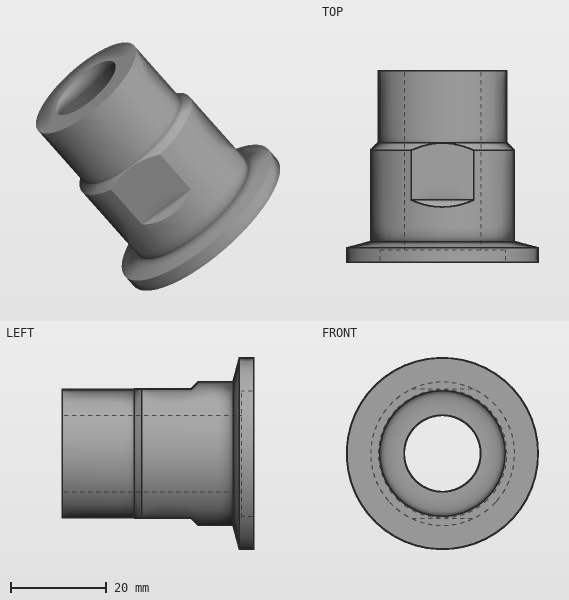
import cadquery as cq

length = 40.0
flange_diameter = 40.0
flange_rim = 3.0
flange_thickness = 4.3
body_diameter = 30.0
tube_diameter = 26.8
body_end = 25.0
shoulder_chamfer = (body_diameter - tube_diameter) / 2
bore_diameter = 15.9
recess_diameter = 26.2
recess_depth = 2.6

across_flats = 27.0
flat_start = 13.05
flat_run_out = (body_diameter - across_flats) / 2


def turned_body():
    """Flange, body and tube revolved about the Y axis, with a stepped bore."""
    bore = bore_diameter / 2
    recess = recess_diameter / 2
    flange = flange_diameter / 2
    body = body_diameter / 2
    tube = tube_diameter / 2
    profile = [
        (recess, 0),
        (flange, 0),
        (flange, flange_rim),
        (body, flange_thickness),
        (body, body_end - shoulder_chamfer),
        (tube, body_end),
        (tube, length),
        (bore, length),
        (bore, recess_depth),
        (recess, recess_depth),
    ]
    return cq.Workplane("XY").polyline(profile).close().revolve(360, (0, 0, 0), (0, 1, 0))


def flat_cutter(side):
    """Prism that cuts one flat; side is +1 for +Z and -1 for -Z."""
    flat_height = side * across_flats / 2
    body_height = side * body_diameter / 2
    section = [
        (flat_start - flat_run_out, body_height),
        (flat_start, flat_height),
        (body_end, flat_height),
        (body_end, body_height),
    ]
    return cq.Workplane("YZ").polyline(section).close().extrude(body_diameter / 2, both=True)


result = turned_body()
for side in (1, -1):
    result = result.cut(flat_cutter(side))

result = result.translate((0, -length / 2, 0))